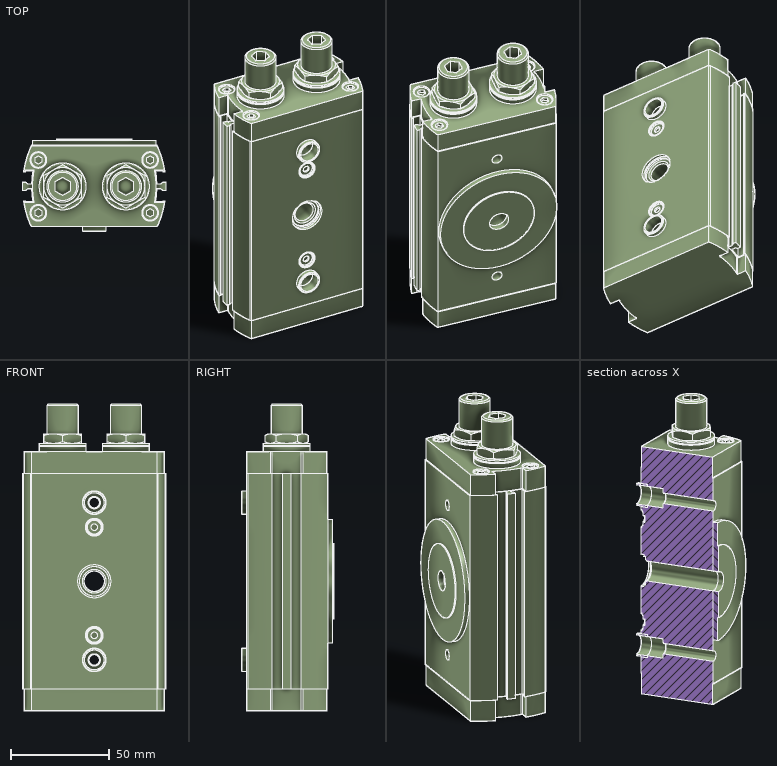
import cadquery as cq
import math

total_height = 156.3
cap_height = 11.1
block_top = 120.8
cap_top = block_top + cap_height
front_y = -20.5
cap_front_y = -20.3
cap_back_y = 20.5
block_back_y = 21.0
face_half_width = 31.9
side_radius = 50.0
block_side_x = 36.5
cap_side_x = 36.4
corner_chamfer = 0.8
cap_slot_half = 8.3
cap_slot_floor_x = 31.4
block_slot_half = 7.8
block_slot_floor_x = 31.9
slot_lip_gap_half = 7.3
slot_lip_thickness = 1.0
slot_overshoot = 1.5
relief_width = 1.0
relief_depth = 0.8
middle_z = (cap_height + block_top) / 2

rib_head_half = 2.2
rib_head_depth = 1.5
rib_neck_half = 1.3
rib_neck_x = 33.8
rib_setback = 0.03
rib_root_embed = 0.8
rib_tip_x = block_side_x - rib_setback
rib_root_x = block_slot_floor_x - rib_root_embed

absorber_x = 16.1
washer_diameter = 23.9
washer_height = 2.7
plate_gap_diameter = 23.1
plate_gap = 0.5
nut_flats = 19.2
nut_bottom = 136.1
nut_top = 141.0
nut_chamfer_angle = math.radians(30)
stud_diameter = 16.0
stud_chamfer = 0.8
stud_socket_flats = 8.0
stud_socket_depth = 7.8

screw_x = 28.5
screw_y = 13.5
screw_hole_diameter = 8.5
screw_floor_diameter = 7.5
screw_recess_depth = 0.6
screw_socket_flats = 3.6
screw_socket_depth = 2.3

sleeve_offset = 40.0
sleeve_diameter = 12.0
sleeve_bore = 10.0
sleeve_chamfer = 0.3
sleeve_projection = 2.5
sleeve_length = 6.0
sleeve_seat_depth = sleeve_length - sleeve_projection
mount_bore_depth = 12.5
mount_hole_diameter = 5.3
mount_hole_mouth = 6.3
port_offset = 27.5
port_mouth_diameter = 9.0
port_diameter = 8.0
port_mouth_depth = 0.5
port_step_diameter = 7.0
port_step_depth = 1.1
port_pilot_diameter = 3.3
port_pilot_depth = 2.0
shaft_recess_diameter = 16.9
shaft_recess_depth = 1.5
shaft_step_diameter = 15.0
shaft_step_depth = 2.5
shaft_bore_mouth = 12.0
shaft_bore_diameter = 10.3

table_diameter = 63.0
table_thickness = 2.5
table_face_y = block_back_y + table_thickness
table_boss_diameter = 38.3
table_boss_height = 0.6


def side_x(apex_x, y):
    """X of the crowned side at depth y, for a side whose crest is at apex_x."""
    return apex_x - side_radius + math.sqrt(side_radius**2 - y**2)


def crowned_profile(apex_x, low_face_y, high_face_y):
    """Outline with flat front and back, crowned sides and chamfered corners."""
    low_y = low_face_y + corner_chamfer
    high_y = high_face_y - corner_chamfer
    low_x = side_x(apex_x, low_y)
    high_x = side_x(apex_x, high_y)
    return (
        cq.Workplane("XY")
        .moveTo(-face_half_width, low_face_y)
        .lineTo(face_half_width, low_face_y)
        .lineTo(low_x, low_y)
        .threePointArc((apex_x, 0), (high_x, high_y))
        .lineTo(face_half_width, high_face_y)
        .lineTo(-face_half_width, high_face_y)
        .lineTo(-high_x, high_y)
        .threePointArc((-apex_x, 0), (-low_x, low_y))
        .close()
    )


def slot_cutter(half_width, floor_x, height):
    """Side slot whose floor is crowned like the outer side."""
    floor_radius = side_radius - (block_side_x - floor_x)
    edge_x = floor_x - floor_radius + math.sqrt(floor_radius**2 - half_width**2)
    outside_x = block_side_x + slot_overshoot
    return (
        cq.Workplane("XY")
        .moveTo(outside_x, -half_width)
        .lineTo(edge_x, -half_width)
        .threePointArc((floor_x, 0), (edge_x, half_width))
        .lineTo(outside_x, half_width)
        .close()
        .extrude(height)
    )


def both_sides(right_shape):
    return right_shape.union(right_shape.mirror("YZ"))


def make_cap(bottom_z):
    cap = crowned_profile(cap_side_x, cap_front_y, cap_back_y).extrude(cap_height)
    slot = slot_cutter(cap_slot_half, cap_slot_floor_x, cap_height)
    relief_x = cap_slot_floor_x - relief_depth
    for side in (-1, 1):
        relief_y = side * (cap_slot_half - relief_width / 2)
        relief = cq.Workplane("XY").center((relief_x + block_side_x) / 2, relief_y)
        slot = slot.union(relief.rect(block_side_x - relief_x, relief_width).extrude(cap_height))
    cap = cap.cut(both_sides(slot))
    return cap.translate((0, 0, bottom_z))


def make_rib(height):
    return (
        cq.Workplane("XY")
        .moveTo(rib_root_x, -rib_neck_half)
        .lineTo(rib_neck_x, -rib_neck_half)
        .lineTo(rib_tip_x - rib_head_depth, -rib_head_half)
        .lineTo(rib_tip_x, -rib_head_half)
        .lineTo(rib_tip_x, rib_head_half)
        .lineTo(rib_tip_x - rib_head_depth, rib_head_half)
        .lineTo(rib_neck_x, rib_neck_half)
        .lineTo(rib_root_x, rib_neck_half)
        .close()
        .extrude(height)
    )


def make_block():
    height = block_top - cap_height
    block = crowned_profile(block_side_x, front_y, block_back_y).extrude(height)
    slot = slot_cutter(block_slot_half, block_slot_floor_x, height)
    lip_x = side_x(block_side_x, block_slot_half) - slot_lip_thickness
    slot = slot.intersect(cq.Workplane("XY").rect(2 * lip_x, 2 * block_slot_half).extrude(height))
    slot = slot.union(slot_cutter(slot_lip_gap_half, block_slot_floor_x, height))
    block = block.cut(both_sides(slot))
    block = block.union(both_sides(make_rib(height)))
    return block.translate((0, 0, cap_height))


def cylinder_up(diameter, bottom_z, top_z):
    return cq.Workplane("XY", origin=(0, 0, bottom_z)).circle(diameter / 2).extrude(top_z - bottom_z)


def hexagon(flats, bottom_z, height):
    """Hexagonal prism with corners at the front and back."""
    return (
        cq.Workplane("XY", origin=(0, 0, bottom_z))
        .transformed(rotate=(0, 0, 90))
        .polygon(6, flats / math.cos(math.pi / 6))
        .extrude(height)
    )


def make_nut():
    """Hexagon nut with its corners bevelled by a cone on both ends."""
    corner_diameter = nut_flats / math.cos(math.pi / 6)
    bevel_width = (corner_diameter - nut_flats) / 2
    bevel_height = bevel_width * math.tan(nut_chamfer_angle)
    bevelled = cylinder_up(corner_diameter, nut_bottom, nut_top)
    bevelled = bevelled.faces("<Z or >Z").chamfer(bevel_height, bevel_width)
    return hexagon(nut_flats, nut_bottom, nut_top - nut_bottom).intersect(bevelled)


def make_absorber():
    """Washers, lock nut and stud that stand on the top cap."""
    washer_top = cap_top + washer_height
    washer = cylinder_up(washer_diameter, cap_top, washer_top)
    gap = cylinder_up(plate_gap_diameter, washer_top, washer_top + plate_gap)
    plate = cylinder_up(washer_diameter, washer_top + plate_gap, nut_bottom)
    stud_socket_bottom = total_height - stud_socket_depth
    stud = cylinder_up(stud_diameter, nut_top, total_height).faces(">Z").chamfer(stud_chamfer)
    socket = hexagon(stud_socket_flats, stud_socket_bottom, stud_socket_depth)
    return washer.union(gap).union(plate).union(make_nut()).union(stud).cut(socket)


def screw_cutter():
    """Recess with a bevelled floor over a cap screw head, with the hexagon socket of the head."""
    recess = cylinder_up(screw_hole_diameter, cap_top - screw_recess_depth, cap_top)
    edge = (screw_hole_diameter - screw_floor_diameter) / 2
    socket_bottom = cap_top - screw_socket_depth
    socket = hexagon(screw_socket_flats, socket_bottom, screw_socket_depth)
    return recess.faces("<Z").chamfer(edge).union(socket)


def bore(diameter, z, start_y, depth):
    """Cylinder running from start_y toward +Y at height z."""
    return cq.Workplane("XZ", origin=(0, start_y, z)).circle(diameter / 2).extrude(-depth)


def bore_cone(mouth, end, z, start_y, depth):
    return (
        cq.Workplane("XZ", origin=(0, start_y, z))
        .circle(mouth / 2)
        .workplane(offset=-depth)
        .circle(end / 2)
        .loft()
    )


def mount_cutter(z):
    """Sleeve seat, bore and through-hole of one mounting point."""
    floor_y = front_y + mount_bore_depth
    cone_depth = (mount_hole_mouth - mount_hole_diameter) / 2
    return (
        bore(sleeve_diameter, z, front_y, sleeve_seat_depth)
        .union(bore(sleeve_bore, z, front_y, mount_bore_depth))
        .union(bore_cone(mount_hole_mouth, mount_hole_diameter, z, floor_y, cone_depth))
        .union(bore(mount_hole_diameter, z, front_y, block_back_y - front_y))
    )


def port_cutter(z):
    """Port that narrows in steps to a small pilot hole."""
    cone_y = front_y + port_mouth_depth
    cone_depth = (port_diameter - port_step_diameter) / 2
    return (
        bore(port_mouth_diameter, z, front_y, port_mouth_depth)
        .union(bore_cone(port_diameter, port_step_diameter, z, cone_y, cone_depth))
        .union(bore(port_step_diameter, z, front_y, port_step_depth))
        .union(bore(port_pilot_diameter, z, front_y, port_pilot_depth))
    )


def shaft_bore_cutter():
    """Stepped central bore running through the housing and the table."""
    step_y = front_y + shaft_step_depth
    cone_depth = (shaft_bore_mouth - shaft_bore_diameter) / 2
    through = table_face_y + table_boss_height - front_y
    return (
        bore(shaft_recess_diameter, middle_z, front_y, shaft_recess_depth)
        .union(bore(shaft_step_diameter, middle_z, front_y, shaft_step_depth))
        .union(bore_cone(shaft_bore_mouth, shaft_bore_diameter, middle_z, step_y, cone_depth))
        .union(bore(shaft_bore_diameter, middle_z, front_y, through))
    )


def make_housing():
    housing = make_block().union(make_cap(0)).union(make_cap(block_top))
    absorber = make_absorber()
    for side in (-1, 1):
        housing = housing.union(absorber.translate((side * absorber_x, 0, 0)))
        for row in (-1, 1):
            housing = housing.cut(screw_cutter().translate((side * screw_x, row * screw_y, 0)))
        housing = housing.cut(mount_cutter(middle_z + side * sleeve_offset))
        housing = housing.cut(port_cutter(middle_z + side * port_offset))
    return housing.cut(shaft_bore_cutter())


def make_table():
    table = bore(table_diameter, middle_z, block_back_y, table_thickness)
    table = table.union(bore(table_boss_diameter, middle_z, table_face_y, table_boss_height))
    return table.cut(shaft_bore_cutter())


def make_sleeve(z):
    sleeve = bore(sleeve_diameter, z, front_y - sleeve_projection, sleeve_length)
    sleeve = sleeve.faces("<Y").chamfer(sleeve_chamfer)
    return sleeve.cut(bore(sleeve_bore, z, front_y - sleeve_projection, sleeve_length))


housing = make_housing()
table = make_table()
sleeves = [make_sleeve(middle_z + side * sleeve_offset) for side in (-1, 1)]

result = cq.Compound.makeCompound([housing.val(), table.val(), *[sleeve.val() for sleeve in sleeves]])